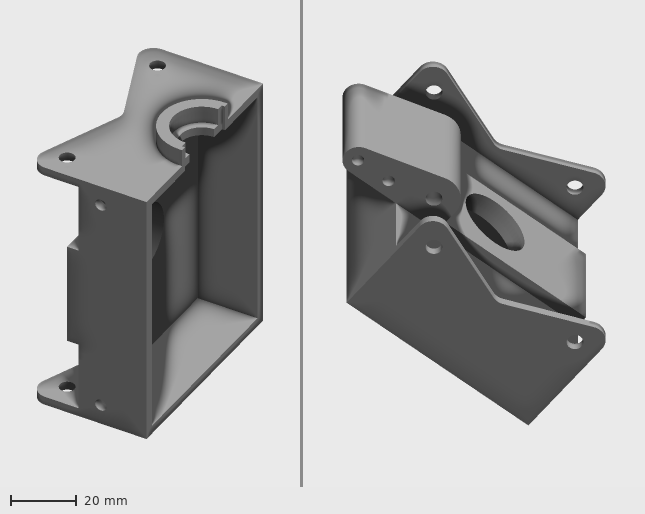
import cadquery as cq
import math


overall_height = 95.0
body_depth = 23.9
body_width = 71.1
body_height = 89.0
plate_thickness = 2.9
side_wall = 3.4
mid_y = body_width / 2
mid_z = body_height / 2

fork_reach = 40.7
fork_corner_radius = 5.0
notch_angle = math.radians(22)
fork_hole_diameter = 5.1
fork_hole_x = -32.5
fork_hole_offset = 27.55

arm_height = 35.3
arm_face_x = -27.9
knuckle_radius = fork_reach + fork_hole_x
knuckle_y = mid_y + fork_hole_offset
tip_radius = 4.9
tip_x = -body_depth - tip_radius
arm_end_y = 94.5
tip_y = arm_end_y - tip_radius
arm_hole_diameter = 3.8
arm_hole_pitch = 12.0
outer_arm_hole_y = 89.9

boss_height = overall_height - body_height
boss_radius = 14.0
seat_radius = 10.0
shaft_radius = 7.5
joint_recess = 1.0
recess_width = 24.4

window_diameter = 23.0
window_z = 45.7
screw_hole_diameter = 4.0
screw_hole_x = -16.1
screw_hole_edge_offset = 6.9


def cylinder(x, y, bottom, radius, height):
    """Vertical cylinder standing on z = bottom."""
    return cq.Workplane("XY", origin=(x, y, bottom)).circle(radius).extrude(height)


def fork_plate(bottom):
    """Full-depth plate with two rounded lobes and a V notch on the -X edge."""
    lobe_x = -fork_reach + fork_corner_radius
    corner_x = lobe_x - fork_corner_radius * (1 + math.sin(notch_angle)) / math.cos(notch_angle)
    notch_x = corner_x + mid_y * math.tan(notch_angle)
    outline = [(0, 0), (corner_x, 0), (notch_x, mid_y), (corner_x, body_width), (0, body_width)]
    plate = cq.Workplane("XY", origin=(0, 0, bottom)).polyline(outline).close().extrude(plate_thickness)
    plate = plate.edges("|Z").edges("not >X").fillet(fork_corner_radius)
    for side in (-1, 1):
        hole_y = mid_y + side * fork_hole_offset
        plate = plate.cut(cylinder(fork_hole_x, hole_y, bottom, fork_hole_diameter / 2, plate_thickness))
    return plate


def hollow_body():
    """Rectangular box with its cavity open at the joint face."""
    box = cq.Workplane("XY").box(body_depth, body_width, body_height, centered=False)
    box = box.translate((-body_depth, 0, 0))
    cavity = cq.Workplane("XY").box(
        body_depth - plate_thickness,
        body_width - 2 * side_wall,
        body_height - 2 * plate_thickness,
        centered=False,
    )
    return box.cut(cavity.translate((plate_thickness - body_depth, side_wall, plate_thickness)))


def hinge_arm():
    """Thick pad on the -X wall that ends in a knuckle and a tapered arm toward +Y."""
    span_x = tip_x - fork_hole_x
    span_y = tip_y - knuckle_y
    tilt = math.atan2(span_x, span_y)
    lean = math.asin((knuckle_radius - tip_radius) / math.hypot(span_x, span_y))
    normal = math.pi - tilt - lean

    def on_circle(x, y, radius, angle):
        return (x + radius * math.cos(angle), y + radius * math.sin(angle))

    knuckle_middle = (normal + 3 * math.pi / 2) / 2
    pad_bottom = knuckle_y - knuckle_radius
    profile = (
        cq.Workplane("XY", origin=(0, 0, mid_z - arm_height / 2))
        .moveTo(-body_depth, 0)
        .lineTo(-body_depth, tip_y)
        .threePointArc(
            on_circle(tip_x, tip_y, tip_radius, normal / 2),
            on_circle(tip_x, tip_y, tip_radius, normal),
        )
        .lineTo(*on_circle(fork_hole_x, knuckle_y, knuckle_radius, normal))
        .threePointArc(
            on_circle(fork_hole_x, knuckle_y, knuckle_radius, knuckle_middle),
            (fork_hole_x, pad_bottom),
        )
        .lineTo(arm_face_x, pad_bottom)
        .lineTo(arm_face_x, 0)
        .close()
    )
    arm = profile.extrude(arm_height)
    holes = [
        (fork_hole_x, knuckle_y, fork_hole_diameter),
        (tip_x, outer_arm_hole_y, arm_hole_diameter),
        (tip_x, outer_arm_hole_y - arm_hole_pitch, arm_hole_diameter),
    ]
    for x, y, diameter in holes:
        arm = arm.cut(cylinder(x, y, 0, diameter / 2, body_height))
    return arm


def bearing_boss():
    """Half-round boss on the top plate, with straight flanks up to the joint face."""
    return (
        cq.Workplane("XY", origin=(0, mid_y, body_height))
        .moveTo(0, -boss_radius)
        .lineTo(-joint_recess, -boss_radius)
        .threePointArc((-joint_recess - boss_radius, 0), (-joint_recess, boss_radius))
        .lineTo(0, boss_radius)
        .close()
        .extrude(boss_height)
    )


def bearing_opening():
    """Seat bore in the boss, shaft bore in the top plate and the recess along the joint face."""
    plate_bottom = body_height - plate_thickness
    opening_height = plate_thickness + boss_height
    seat = cylinder(-joint_recess, mid_y, body_height, seat_radius, boss_height)
    shaft = cylinder(-joint_recess, mid_y, plate_bottom, shaft_radius, opening_height)
    recess = cq.Workplane("XY").box(joint_recess, recess_width, opening_height, centered=(False, True, False))
    return seat.union(shaft).union(recess.translate((-joint_recess, mid_y, plate_bottom)))


def window():
    """Round opening through the pad and the wall facing -X."""
    pad_plane = cq.Workplane("YZ", origin=(arm_face_x, mid_y, window_z))
    return pad_plane.circle(window_diameter / 2).extrude(plate_thickness - body_depth - arm_face_x)


def screw_holes():
    """Two holes through the wall facing -Y."""
    heights = (screw_hole_edge_offset, body_height - screw_hole_edge_offset)
    points = [(screw_hole_x, z) for z in heights]
    return cq.Workplane("XZ").pushPoints(points).circle(screw_hole_diameter / 2).extrude(-side_wall)


result = hollow_body()
for plate_z in (0, body_height - plate_thickness):
    result = result.union(fork_plate(plate_z))
result = result.union(hinge_arm()).union(bearing_boss())
result = result.cut(bearing_opening()).cut(window()).cut(screw_holes())